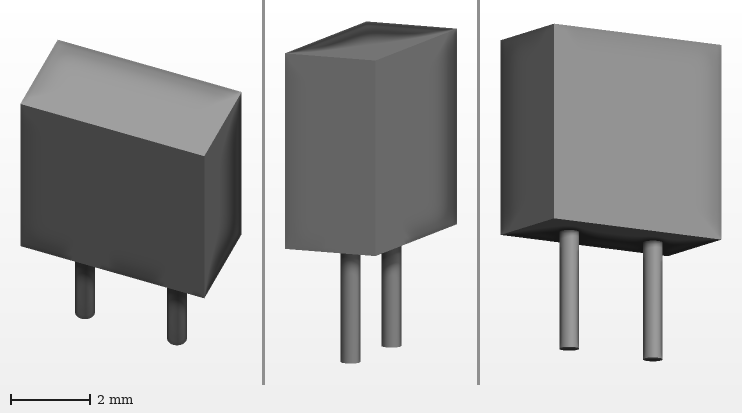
import cadquery as cq

body_length = 5.0
body_width = 2.5
body_height = 5.0

lead_diameter = 0.5
lead_length = 3.0
lead_pitch = 2.5


def make_body():
    """Rectangular block centred on X and Y with its underside at z = 0."""
    return cq.Workplane("XY").box(body_length, body_width, body_height, centered=(True, True, False))


def make_lead(x):
    """Round pin hanging from the underside of the block."""
    return cq.Workplane("XY").center(x, 0).circle(lead_diameter / 2).extrude(-lead_length)


body = make_body()
leads = [make_lead(side * lead_pitch / 2) for side in (-1, 1)]

result = cq.Compound.makeCompound([body.val(), *[lead.val() for lead in leads]])